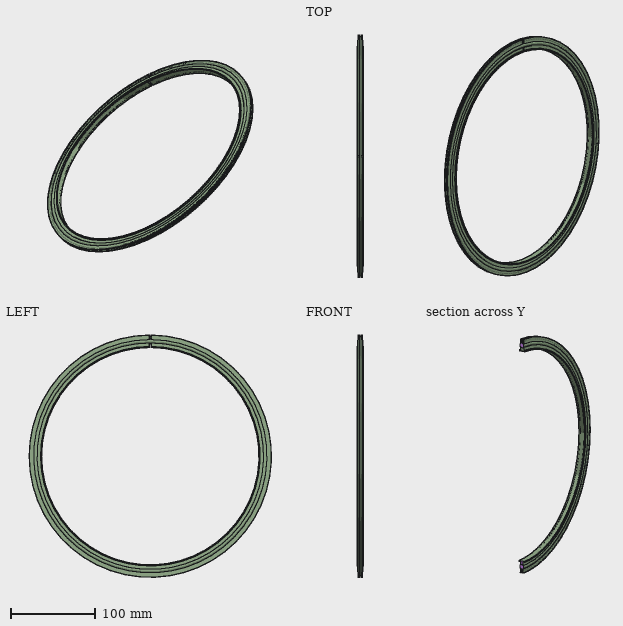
import cadquery as cq

outer_radius = 143.5
bore_radius = 128.5
core_center_radius = 136.0
core_radius = 3.2
web_width = 5.0
flange_width = 8.0
flange_thickness = 1.5
wire_radius = 1.1
wire_center_radius = 141.0
split_width = 2.0

groove_width = 2 * wire_radius


def annulus(inner_radius, rim_radius, width):
    """Flat ring centred on the YZ plane."""
    ring = cq.Workplane("YZ").circle(rim_radius).circle(inner_radius)
    return ring.extrude(width / 2, both=True)


def round_ring(center_radius, section_radius):
    """Closed ring of round section, revolved about X with its seam facing the axis."""
    section_plane = cq.Plane(origin=(0, 0, center_radius), xDir=(0, 0, -1), normal=(0, 1, 0))
    section = cq.Workplane(section_plane).circle(section_radius)
    return section.revolve(360, (center_radius, 0), (center_radius, 1))


def split_at_top(ring):
    """Cut the narrow gap that opens a ring at its +Z side."""
    cutter = cq.Workplane("XY").box(
        2 * flange_width, split_width, 2 * outer_radius, centered=(True, True, False)
    )
    return ring.cut(cutter)


def make_inner_ring(core):
    """T-section ring: wide flange at the bore and a web that seats the core."""
    flange = annulus(bore_radius, bore_radius + flange_thickness, flange_width)
    web = annulus(bore_radius, core_center_radius, web_width)
    return split_at_top(flange.union(web).cut(core))


def make_outer_ring(core):
    """Flat ring seated on the core, with a round-bottomed wire groove in its rim."""
    body = annulus(core_center_radius, outer_radius, web_width).cut(core)
    groove = annulus(wire_center_radius, outer_radius + wire_radius, groove_width)
    body = body.cut(groove).cut(round_ring(wire_center_radius, wire_radius))
    return split_at_top(body)


core = round_ring(core_center_radius, core_radius)
wire = round_ring(wire_center_radius, wire_radius)
inner_ring = make_inner_ring(core)
outer_ring = make_outer_ring(core)

result = cq.Compound.makeCompound([
    core.val(),
    wire.val(),
    *inner_ring.solids().vals(),
    *outer_ring.solids().vals(),
])